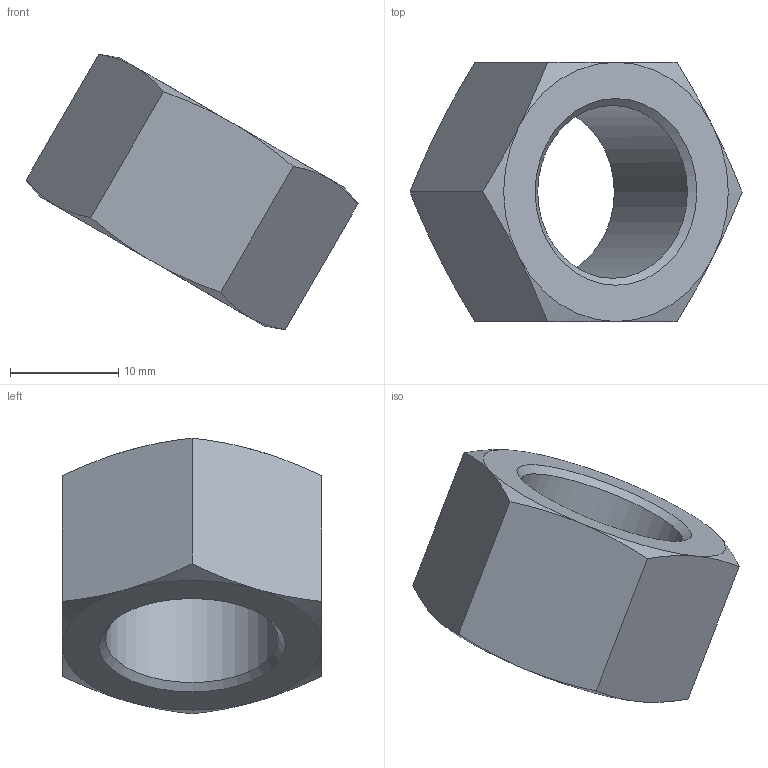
import cadquery as cq
import math

side_count = 6
across_flats = 24.0
nut_height = 14.8
bore_diameter = 16.0
tilt_angle = 30.0

end_face_diameter = across_flats
corner_chamfer_angle = 20.0
countersink_diameter = 17.28
countersink_angle = 45.0

across_corners = across_flats / math.cos(math.pi / side_count)


def cone_ended_cylinder(middle_diameter, end_diameter, cone_angle):
    """Full-height round solid whose ends taper or flare to another diameter."""
    half_height = nut_height / 2
    middle_radius = middle_diameter / 2
    end_radius = end_diameter / 2
    cone_height = abs(middle_radius - end_radius) * math.tan(math.radians(cone_angle))
    cone_start = half_height - cone_height
    profile = [
        (0, -half_height),
        (end_radius, -half_height),
        (middle_radius, -cone_start),
        (middle_radius, cone_start),
        (end_radius, half_height),
        (0, half_height),
    ]
    return cq.Workplane("XZ").polyline(profile).close().revolve(360, (0, 0), (0, 1))


def hexagonal_body():
    """Hexagonal prism with corners on the X axis and flats facing +Y and -Y."""
    return (
        cq.Workplane("XY")
        .polygon(side_count, across_corners)
        .extrude(nut_height / 2, both=True)
    )


def chamfer_envelope():
    """Cylinder with tapered ends that trims the hexagon corners."""
    return cone_ended_cylinder(across_corners, end_face_diameter, corner_chamfer_angle)


def countersunk_bore():
    """Through bore widening into a countersink at each end."""
    return cone_ended_cylinder(bore_diameter, countersink_diameter, countersink_angle)


upright_nut = hexagonal_body().intersect(chamfer_envelope()).cut(countersunk_bore())
result = upright_nut.rotate((0, 0, 0), (0, 1, 0), tilt_angle)